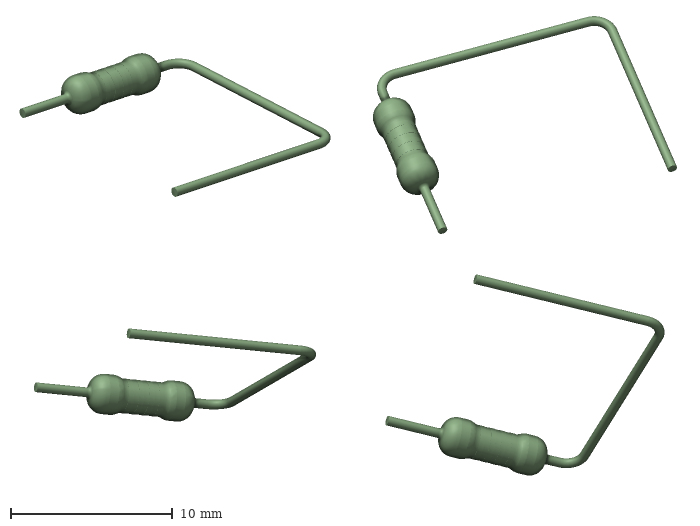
import cadquery as cq
import math

WIRE_DIAMETER = 0.6
LEAD_PITCH = 15.0
BEND_RADIUS = 1.2
LEAD_END_Y = -7.0
CROSS_WIRE_Y = 5.6

CAP_DIAMETER = 2.5
WAIST_DIAMETER = 2.12
BAND_DIAMETER = 2.15
BAND_WIDTH = 0.344
BAND_COUNT = 4
CAP_INNER_Y = 1.93
CAP_OUTER_Y = 2.52
DOME_RADIUS = 0.9
NECK_RADIUS = 0.25

wire_radius = WIRE_DIAMETER / 2
cap_radius = CAP_DIAMETER / 2
waist_radius = WAIST_DIAMETER / 2
waist_half_length = (2 * BAND_COUNT - 1) * BAND_WIDTH / 2


def end_cap():
    """Revolved +Y end of the body: S-shaped shoulder, cap, dome and neck fillet."""
    half_length = (CAP_INNER_Y - waist_half_length) / 2
    half_rise = (cap_radius - waist_radius) / 2
    shoulder_radius = (half_length**2 + half_rise**2) / (2 * half_rise)
    shoulder_middle = (waist_radius + half_rise, waist_half_length + half_length)

    dome_centre_radius = cap_radius - DOME_RADIUS
    neck_centre_radius = wire_radius + NECK_RADIUS
    centre_offset = neck_centre_radius - dome_centre_radius
    centre_distance = DOME_RADIUS + NECK_RADIUS
    contact_angle = math.asin(centre_offset / centre_distance)
    contact = (
        dome_centre_radius + DOME_RADIUS * math.sin(contact_angle),
        CAP_OUTER_Y + DOME_RADIUS * math.cos(contact_angle),
    )
    neck_end_y = CAP_OUTER_Y + centre_distance * math.cos(contact_angle)

    return (
        cq.Workplane("XY")
        .moveTo(0, waist_half_length)
        .lineTo(waist_radius, waist_half_length)
        .radiusArc(shoulder_middle, shoulder_radius)
        .radiusArc((cap_radius, CAP_INNER_Y), -shoulder_radius)
        .lineTo(cap_radius, CAP_OUTER_Y)
        .tangentArcPoint(contact, relative=False)
        .tangentArcPoint((wire_radius, neck_end_y), relative=False)
        .lineTo(0, neck_end_y)
        .close()
        .revolve(360, (0, 0, 0), (0, 1, 0))
    )


def disc(diameter, start_y, length):
    """Cylinder around the body axis, from start_y towards +Y."""
    return (
        cq.Workplane("XZ", origin=(0, start_y, 0))
        .circle(diameter / 2)
        .extrude(-length)
    )


def banded_waist():
    """Straight middle of the body with its slightly raised color bands."""
    waist = disc(WAIST_DIAMETER, -waist_half_length, 2 * waist_half_length)
    for index in range(BAND_COUNT):
        start_y = -waist_half_length + 2 * index * BAND_WIDTH
        waist = waist.union(disc(BAND_DIAMETER, start_y, BAND_WIDTH))
    return waist


def bent_wire():
    """Round wire: through the body, across along +X, then back down to the second lead end."""
    bend_start_y = CROSS_WIRE_Y - BEND_RADIUS
    path = (
        cq.Workplane("XY")
        .moveTo(0, LEAD_END_Y)
        .lineTo(0, bend_start_y)
        .tangentArcPoint((BEND_RADIUS, CROSS_WIRE_Y), relative=False)
        .lineTo(LEAD_PITCH - BEND_RADIUS, CROSS_WIRE_Y)
        .tangentArcPoint((LEAD_PITCH, bend_start_y), relative=False)
        .lineTo(LEAD_PITCH, LEAD_END_Y)
    )
    return cq.Workplane("XZ", origin=(0, LEAD_END_Y, 0)).circle(wire_radius).sweep(path)


cap = end_cap()
result = banded_waist().union(cap).union(cap.mirror("XZ")).union(bent_wire())